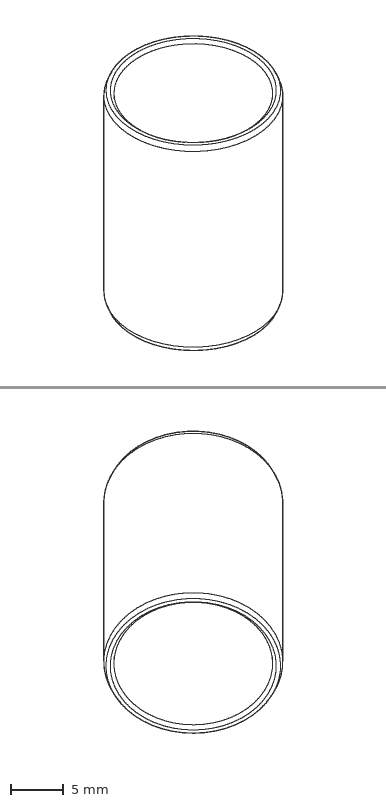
import cadquery as cq
import math

length = 25.0
outer_diameter = 17.0
inner_diameter = 15.05
outer_chamfer_height = 0.6
outer_chamfer_angle = 20.0
inner_chamfer = 0.35

outer_radius = outer_diameter / 2
inner_radius = inner_diameter / 2
half_length = length / 2
outer_chamfer_depth = outer_chamfer_height * math.tan(math.radians(outer_chamfer_angle))

wall_section = (
    cq.Workplane("XZ")
    .moveTo(inner_radius, inner_chamfer - half_length)
    .lineTo(inner_radius + inner_chamfer, -half_length)
    .lineTo(outer_radius - outer_chamfer_depth, -half_length)
    .lineTo(outer_radius, outer_chamfer_height - half_length)
    .lineTo(outer_radius, half_length - outer_chamfer_height)
    .lineTo(outer_radius - outer_chamfer_depth, half_length)
    .lineTo(inner_radius + inner_chamfer, half_length)
    .lineTo(inner_radius, half_length - inner_chamfer)
    .close()
)

result = wall_section.revolve(360, (0, 0, 0), (0, 1, 0))